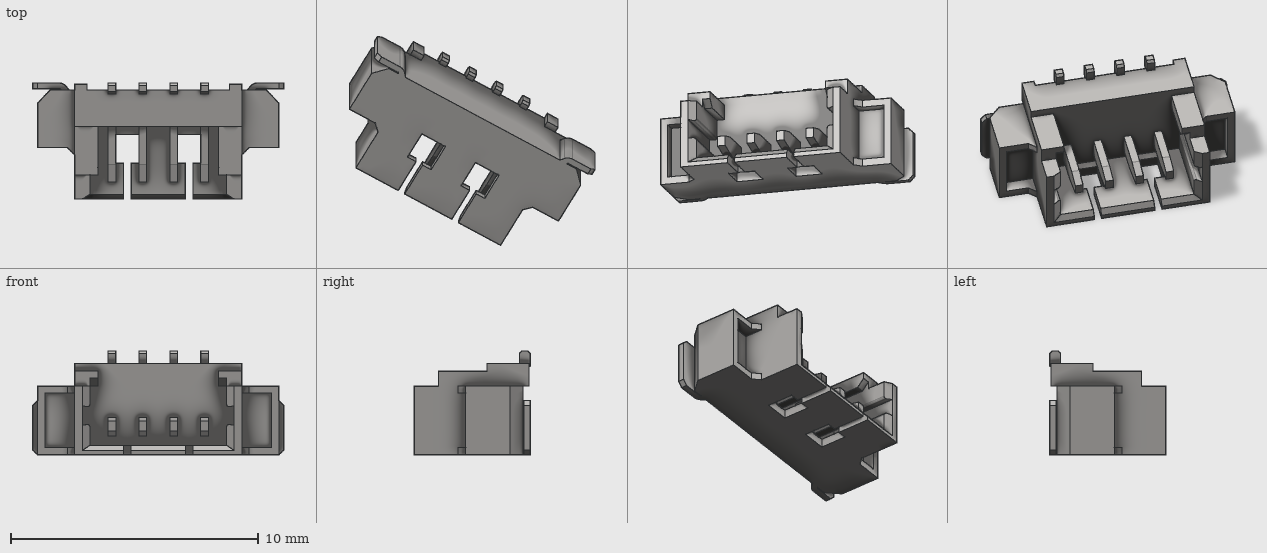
import cadquery as cq
import math


PIN_COUNT = 4
PIN_PITCH = 1.25
PIN_WIDTH = 0.32
PIN_BOTTOM = 0.76
PIN_TOP = 1.52
PIN_TIP_Y = 0.69
PIN_UPPER_TAPER_Y = 1.39
PIN_LOWER_TAPER_Y = 1.76
PIN_TIP_BOTTOM = 0.97
PIN_TIP_TOP = 1.37
TAIL_FRONT = 4.25
TAIL_BOTTOM = 3.5
TAIL_CHAMFER = 0.1

OVERALL_DEPTH = 4.7
OVERALL_HEIGHT = 4.2
TAB_HALF_SPAN = 5.075

BODY_HALF_WIDTH = 3.375
BODY_HEIGHT = 3.7
BODY_REAR = 4.41
BACK_WALL_FRONT = 2.94
SIDE_WALL_TOP = 2.78
FLOOR_TOP = 0.39
CAVITY_HALF_WIDTH = 3.065
REAR_BUMP_WIDTH = 0.5
REAR_BUMP_Y = 4.65

CAP_TOP = 3.39
CAP_FRONT = 0.98
CAP_INNER_X = 2.44
CAP_CHAMFER_Y = 0.3
CAP_CHAMFER_Z = 0.32

RIB_INNER_X = 2.763
RIB_NOSE_RADIUS = 0.1
RIB_EDGE_SLOPE = 0.03
LOWER_RIB_TOP = 1.23
UPPER_RIB_BOTTOM = 1.95

LEAD_IN_DEPTH = 0.19
LEAD_IN_LIP = 0.18

SLOT_WIDTH = 0.3
WINDOW_WIDTH = 1.1
WINDOW_FRONT = 1.45
WINDOW_REAR = 2.61

WING_HALF_SPAN = 4.875
WING_FRONT = 2.08
WING_REAR_CHAMFER_X = 0.5
WING_REAR_CHAMFER_Y = 0.53
WING_SKIN = 0.3
WING_TOP_SKIN = 0.28
WING_POCKET_DEPTH = 0.5
GUSSET = 0.3

TAB_HEIGHT = 2.2
TAB_THICKNESS = 0.25
TAB_CORNER = 0.2
TAB_INNER_BEND_X = 3.96
TAB_BEND_ANGLE = 50
TAB_BEND_RADIUS = 0.4
TAB_ROOT_Y = 4.2

PIN_XS = [(i - (PIN_COUNT - 1) / 2) * PIN_PITCH for i in range(PIN_COUNT)]


def box(x0, x1, y0, y1, z0, z1):
    """Axis-aligned block between two opposite corners."""
    return cq.Workplane("XY").box(x1 - x0, y1 - y0, z1 - z0, centered=False).translate((x0, y0, z0))


def prism_along_x(yz_points, x0, x1):
    """Extrude a (y, z) outline from x0 to x1."""
    return cq.Workplane("YZ").polyline(yz_points).close().extrude(x1 - x0).translate((x0, 0, 0))


def prism_along_z(xy_points, z0, z1):
    """Extrude an (x, y) outline from z0 to z1."""
    return cq.Workplane("XY").polyline(xy_points).close().extrude(z1 - z0).translate((0, 0, z0))


def with_mirror(shape):
    """Add the copy of a right-hand feature on the left-hand side."""
    return shape.union(shape.mirror("YZ"))


def make_housing():
    """Back wall, floor, side walls and rear bumps."""
    half = BODY_HALF_WIDTH
    housing = box(-half, half, BACK_WALL_FRONT, BODY_REAR, 0, BODY_HEIGHT)
    housing = housing.union(box(-half, half, 0, BACK_WALL_FRONT, 0, FLOOR_TOP))
    wall = box(CAVITY_HALF_WIDTH, half, 0, BACK_WALL_FRONT, 0, SIDE_WALL_TOP)
    bump = box(half - REAR_BUMP_WIDTH, half, BODY_REAR, REAR_BUMP_Y, SIDE_WALL_TOP, BODY_HEIGHT)
    return housing.union(with_mirror(wall)).union(with_mirror(bump))


def make_rib(nose_z, base_z, inward):
    """Right-hand rib with a rounded nose; inward is +1 or -1, from the nose edge to the base."""
    r = RIB_NOSE_RADIUS
    profile = (
        cq.Workplane("XZ")
        .moveTo(RIB_INNER_X, base_z)
        .lineTo(RIB_INNER_X, nose_z + inward * r)
        .radiusArc((RIB_INNER_X + r, nose_z), -inward * r)
        .lineTo(CAVITY_HALF_WIDTH, nose_z + inward * RIB_EDGE_SLOPE)
        .lineTo(CAVITY_HALF_WIDTH, base_z)
        .close()
    )
    return profile.extrude(-BACK_WALL_FRONT)


def make_ribs():
    lower = make_rib(LOWER_RIB_TOP, FLOOR_TOP, -1)
    upper = make_rib(UPPER_RIB_BOTTOM, SIDE_WALL_TOP, 1)
    return with_mirror(lower).union(with_mirror(upper))


def make_caps():
    """Cap blocks overhanging the cavity, relieved underneath at the front."""
    cap = box(CAP_INNER_X, BODY_HALF_WIDTH, CAP_FRONT, BACK_WALL_FRONT, SIDE_WALL_TOP, CAP_TOP)
    relief = prism_along_x(
        [
            (CAP_FRONT, SIDE_WALL_TOP),
            (CAP_FRONT + CAP_CHAMFER_Y, SIDE_WALL_TOP),
            (CAP_FRONT, SIDE_WALL_TOP + CAP_CHAMFER_Z),
        ],
        CAP_INNER_X,
        RIB_INNER_X,
    )
    return with_mirror(cap.cut(relief))


def make_lead_in():
    """Mitred taper that opens the cavity at the mating face."""
    floor_taper = prism_along_x(
        [
            (0, LEAD_IN_LIP),
            (LEAD_IN_DEPTH, FLOOR_TOP),
            (LEAD_IN_DEPTH, SIDE_WALL_TOP),
            (0, SIDE_WALL_TOP),
        ],
        -CAVITY_HALF_WIDTH,
        CAVITY_HALF_WIDTH,
    )
    side_taper = prism_along_z(
        [
            (-CAVITY_HALF_WIDTH, 0),
            (CAVITY_HALF_WIDTH, 0),
            (RIB_INNER_X, LEAD_IN_DEPTH),
            (-RIB_INNER_X, LEAD_IN_DEPTH),
        ],
        0,
        SIDE_WALL_TOP,
    )
    return floor_taper.intersect(side_taper)


def make_floor_cutout():
    """Right-hand slot from the mating face, and the window behind it between two pins."""
    centre = (PIN_XS[-1] + PIN_XS[-2]) / 2
    window_half = WINDOW_WIDTH / 2
    slot = box(centre - SLOT_WIDTH / 2, centre + SLOT_WIDTH / 2, 0, WINDOW_FRONT, 0, FLOOR_TOP)
    window = box(centre - window_half, centre + window_half, WINDOW_FRONT, WINDOW_REAR, 0, FLOOR_TOP)
    return slot.union(window)


def make_wing():
    """Right-hand wing with a front pocket and gussets on its top and bottom skins."""
    wing = prism_along_z(
        [
            (BODY_HALF_WIDTH, WING_FRONT - GUSSET),
            (BODY_HALF_WIDTH + GUSSET, WING_FRONT),
            (WING_HALF_SPAN, WING_FRONT),
            (WING_HALF_SPAN, BODY_REAR - WING_REAR_CHAMFER_Y),
            (WING_HALF_SPAN - WING_REAR_CHAMFER_X, BODY_REAR),
            (BODY_HALF_WIDTH, BODY_REAR),
        ],
        0,
        SIDE_WALL_TOP,
    )
    pocket = box(
        BODY_HALF_WIDTH,
        WING_HALF_SPAN - WING_SKIN,
        WING_FRONT - GUSSET,
        WING_FRONT + WING_POCKET_DEPTH,
        WING_SKIN,
        SIDE_WALL_TOP - WING_TOP_SKIN,
    )
    return wing.cut(pocket)


def make_tab():
    """Right-hand solder tab, bent forward into the rear of the wing."""
    slope = math.tan(math.radians(TAB_BEND_ANGLE))
    inner_y = OVERALL_DEPTH - TAB_THICKNESS
    outer_bend_x = TAB_INNER_BEND_X - TAB_THICKNESS * math.tan(math.radians(TAB_BEND_ANGLE / 2))
    tab = prism_along_z(
        [
            (TAB_HALF_SPAN, OVERALL_DEPTH),
            (outer_bend_x, OVERALL_DEPTH),
            (outer_bend_x - (OVERALL_DEPTH - TAB_ROOT_Y) / slope, TAB_ROOT_Y),
            (TAB_INNER_BEND_X - (inner_y - TAB_ROOT_Y) / slope, TAB_ROOT_Y),
            (TAB_INNER_BEND_X, inner_y),
            (TAB_HALF_SPAN, inner_y),
        ],
        0,
        TAB_HEIGHT,
    )
    bend = cq.selectors.NearestToPointSelector((outer_bend_x, OVERALL_DEPTH, TAB_HEIGHT / 2))
    tab = tab.edges("|Z").edges(bend).fillet(TAB_BEND_RADIUS)
    return tab.faces(">X").edges("|Y").chamfer(TAB_CORNER)


def make_pin(x):
    """Contact blade with a tapered tip, and the solder tail showing at the rear top edge."""
    left = x - PIN_WIDTH / 2
    right = x + PIN_WIDTH / 2
    blade = prism_along_x(
        [
            (BACK_WALL_FRONT, PIN_BOTTOM),
            (PIN_LOWER_TAPER_Y, PIN_BOTTOM),
            (PIN_TIP_Y, PIN_TIP_BOTTOM),
            (PIN_TIP_Y, PIN_TIP_TOP),
            (PIN_UPPER_TAPER_Y, PIN_TOP),
            (BACK_WALL_FRONT, PIN_TOP),
        ],
        left,
        right,
    )
    tail = box(left, right, TAIL_FRONT, OVERALL_DEPTH, TAIL_BOTTOM, OVERALL_HEIGHT)
    tail = tail.edges("|X").chamfer(TAIL_CHAMFER)
    return blade.union(tail)


result = make_housing().union(make_ribs()).union(make_caps())
result = result.cut(make_lead_in()).cut(with_mirror(make_floor_cutout()))
result = result.union(with_mirror(make_wing())).union(with_mirror(make_tab()))
for pin_x in PIN_XS:
    result = result.union(make_pin(pin_x))